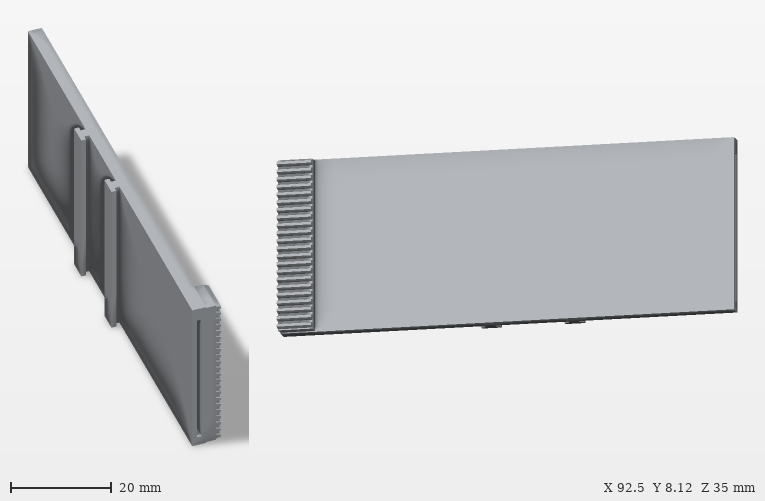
import cadquery as cq
import math


plate_length = 92.5
plate_thickness = 3.0
plate_height = 35.0
plate_left = -plate_length / 2
plate_right = plate_length / 2
plate_bottom = -plate_height / 2

slot_width = 1.0
slot_height = 30.0
slot_floor = 2.0

rail_neck_width = 2.0
rail_neck_depth = 1.0
rail_flange_width = 4.0
rail_flange_depth = 1.0
rail_count = 2
rail_spacing = 17.0
first_rail_offset = 33.5
rail_centers = [plate_left + first_rail_offset + i * rail_spacing for i in range(rail_count)]

gear_module = 0.5
pressure_angle = 14.5
tooth_count = 22
rack_width = 7.0
rack_base_thickness = 2.0
tooth_pitch = math.pi * gear_module
tooth_addendum = gear_module
tooth_dedendum = 1.25 * gear_module
rack_length = tooth_count * tooth_pitch


def upright_block(x_center, y_front, width, depth):
    """Block as tall as the plate, centred on x_center, reaching back from y_front."""
    return (
        cq.Workplane("XY", origin=(x_center, y_front + depth / 2, plate_bottom))
        .rect(width, depth)
        .extrude(plate_height)
    )


def make_rail(x_center):
    """T-rail: a narrow neck standing on the plate, closed by a wider flange."""
    neck = upright_block(x_center, -rail_neck_depth, rail_neck_width, rail_neck_depth)
    flange_front = -rail_neck_depth - rail_flange_depth
    flange = upright_block(x_center, flange_front, rail_flange_width, rail_flange_depth)
    return neck.union(flange)


def make_plate():
    """Plate with its lengthwise slot and both rails."""
    plate = upright_block(0, 0, plate_length, plate_thickness)
    slot_center_z = plate_bottom + slot_floor + slot_height / 2
    slot = cq.Workplane("XY").box(plate_length, slot_width, slot_height)
    plate = plate.cut(slot.translate((0, plate_thickness / 2, slot_center_z)))
    for x_center in rail_centers:
        plate = plate.union(make_rail(x_center))
    return plate


def make_rack():
    """Straight-flanked gear rack, flush with the right end of the plate."""
    root_y = plate_thickness + rack_base_thickness
    tip_y = root_y + tooth_dedendum + tooth_addendum
    flank_slope = math.tan(math.radians(pressure_angle))
    root_half_width = tooth_pitch / 4 + tooth_dedendum * flank_slope
    tip_half_width = tooth_pitch / 4 - tooth_addendum * flank_slope

    outline = [(plate_thickness, -rack_length / 2), (root_y, -rack_length / 2)]
    for i in range(tooth_count):
        tooth_z = -rack_length / 2 + (i + 0.5) * tooth_pitch
        outline += [
            (root_y, tooth_z - root_half_width),
            (tip_y, tooth_z - tip_half_width),
            (tip_y, tooth_z + tip_half_width),
            (root_y, tooth_z + root_half_width),
        ]
    outline += [(root_y, rack_length / 2), (plate_thickness, rack_length / 2)]

    rack_left = plate_right - rack_width
    return (
        cq.Workplane("YZ", origin=(rack_left, 0, 0))
        .polyline(outline)
        .close()
        .extrude(rack_width)
    )


plate = make_plate()
rack = make_rack()

result = cq.Compound.makeCompound([plate.val(), rack.val()])